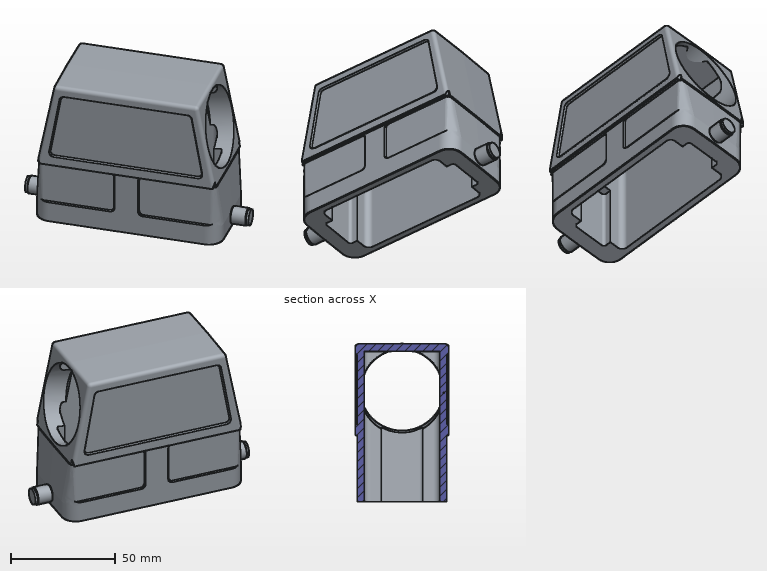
import cadquery as cq
import math

pin_span = 111.7
height = 76.0
hood_width = 45.0
draft_angle = 0.5

base_length = 93.4
base_width = 43.0
skirt_height = 9.0
skirt_radius = 7.5
waist_top_length = 89.4
waist_top_radius = 3.8
rim_chamfer = 0.3

hood_bottom = 31.7
hood_bottom_length = 89.6
hood_top_length = 72.2
hood_radius = 1.9
hood_rim_chamfer = 0.5
corner_relief_x = 43.2
corner_relief_y = 20.3
corner_relief_run = 1.0
corner_relief_rise = 3.8

waist_panel_depth = 0.6
waist_panel_wall_angle = 45.0
hood_panel_depth = 0.9
hood_panel_wall_angle = 35.0
panel_corner_radius = 2.5
panel_end_radius = 2.0
hood_panel_bottom = 36.8
hood_panel_top = 71.0
hood_panel_bottom_length = 77.6
hood_panel_top_length = 65.6
waist_panel_bottom = 10.6
waist_panel_inner_x = 5.8

pin_diameter = 8.8
pin_core_diameter = 8.0
pin_height = 6.0
sleeve_length = 8.0
pin_chamfer = (pin_diameter - pin_core_diameter) / 2

cavity_length = 69.0
cavity_width = 36.0
cavity_top = 72.0
cavity_radius = 3.0
end_slot_length = 77.6
end_slot_width = 19.8
end_slot_radius = 1.5
end_slot_top = 36.0

entry_diameter = 40.0
entry_depth = 12.0
end_slope = math.degrees(math.atan2((hood_bottom_length - hood_top_length) / 2, height - hood_bottom))

overlap = 1.0


def rounded_block(length, width, radius, bottom, top):
    block = cq.Workplane("XY").workplane(offset=bottom).rect(length, width).extrude(top - bottom)
    return block.edges("|Z").fillet(radius)


def base_outline(length, radius, height_above):
    """Rounded rectangle whose ends are slightly crowned by the mould draft."""
    side_y = base_width / 2
    tip_x = length / 2
    corner_x = tip_x - side_y * math.tan(math.radians(draft_angle))
    points = [
        (corner_x, -side_y),
        (tip_x, 0),
        (corner_x, side_y),
        (-corner_x, side_y),
        (-tip_x, 0),
        (-corner_x, -side_y),
    ]
    outline = cq.Sketch().polygon(points + points[:1])
    outline = outline.vertices("<Y or >Y").fillet(radius)
    return outline.moved(cq.Location(cq.Vector(0, 0, height_above)))


def trapezoid(bottom_length, top_length, bottom, top):
    return [
        (-bottom_length / 2, bottom),
        (bottom_length / 2, bottom),
        (top_length / 2, top),
        (-top_length / 2, top),
    ]


def make_base():
    skirt = cq.Workplane("XY").placeSketch(base_outline(base_length, skirt_radius, 0)).extrude(skirt_height)
    skirt = skirt.faces("<Z").edges().chamfer(rim_chamfer)
    lower = base_outline(base_length, skirt_radius, skirt_height)
    upper = base_outline(waist_top_length, waist_top_radius, hood_bottom)
    waist = cq.Workplane("XY").placeSketch(lower, upper).loft(ruled=True)
    return skirt.union(waist)


def corner_relief():
    """Wedge that trims a lower hood corner back to the rounded waist corner."""
    outline = [
        (corner_relief_x, hood_bottom),
        (corner_relief_x + corner_relief_run, hood_bottom + corner_relief_rise),
        (base_length / 2, hood_bottom + corner_relief_rise),
        (base_length / 2, hood_bottom),
    ]
    wedge = cq.Workplane("XZ", origin=(0, -corner_relief_y, 0))
    return wedge.polyline(outline).close().extrude(hood_width / 2 - corner_relief_y + overlap)


def make_hood():
    """Two mirrored halves drafted away from the parting plane, with rounded outer edges."""
    slope = math.tan(math.radians(end_slope))
    low_length = hood_bottom_length + 2 * overlap * slope
    outline = trapezoid(low_length, hood_top_length, hood_bottom - overlap, height)
    half = cq.Workplane("XZ").polyline(outline).close().extrude(hood_width / 2, taper=draft_angle)
    margin = 2 * height
    rounded_zone = cq.selectors.BoxSelector((-margin, -margin, hood_bottom), (margin, -overlap, margin))
    half = half.edges(rounded_zone).fillet(hood_radius)
    trim = cq.Workplane("XY").box(
        2 * hood_bottom_length, 2 * hood_width, hood_bottom, centered=(True, True, False)
    )
    half = half.cut(trim)
    half = half.faces("<Z").edges("not >Y").chamfer(hood_rim_chamfer)
    relief = corner_relief()
    half = half.cut(relief).cut(relief.mirror("YZ"))
    return half.union(half.mirror("XZ"))


def panel_cutter(outline, face_y, depth, wall_angle):
    """Shallow pocket with sloping walls, cut inward from the face at y = -face_y."""
    profile = cq.Sketch().polygon(outline + outline[:1]).vertices().fillet(panel_corner_radius)
    face = cq.Workplane("XZ", origin=(0, -face_y, 0))
    return face.placeSketch(profile).extrude(-depth, taper=wall_angle)


def floor_end_edges():
    """Selects the four edges where a waist panel floor runs out into a rounded corner."""
    corner_x = waist_top_length / 2 - waist_top_radius / 2
    middle_z = (waist_panel_bottom + hood_bottom) / 2
    floor_y = base_width / 2 - waist_panel_depth
    size = cq.Vector(overlap, overlap / 10, overlap)
    zones = []
    for x in (-corner_x, corner_x):
        for y in (-floor_y, floor_y):
            centre = cq.Vector(x, y, middle_z)
            zones.append(cq.selectors.BoxSelector((centre - size).toTuple(), (centre + size).toTuple()))
    return zones[0] + zones[1] + zones[2] + zones[3]


def join_with_panels(base, hood):
    hood_panel = panel_cutter(
        trapezoid(hood_panel_bottom_length, hood_panel_top_length, hood_panel_bottom, hood_panel_top),
        hood_width / 2,
        hood_panel_depth,
        hood_panel_wall_angle,
    )
    outer_x = base_length / 2 + 2 * overlap
    upper_z = hood_bottom + waist_panel_depth
    waist_panel = panel_cutter(
        [
            (waist_panel_inner_x, waist_panel_bottom),
            (outer_x, waist_panel_bottom),
            (outer_x, upper_z),
            (waist_panel_inner_x, upper_z),
        ],
        base_width / 2,
        waist_panel_depth,
        waist_panel_wall_angle,
    )
    for mirror_far in (False, True):
        for mirror_left in (False, True):
            cutter = waist_panel.mirror("YZ") if mirror_left else waist_panel
            base = base.cut(cutter.mirror("XZ") if mirror_far else cutter)
    base = base.edges(floor_end_edges()).fillet(panel_end_radius)
    hood = hood.cut(hood_panel).cut(hood_panel.mirror("XZ"))
    return base.union(hood)


def make_pin(side):
    """Stepped pin: a core with a chamfered, thicker sleeve."""
    base_end = base_length / 2
    core = cq.Workplane("YZ", origin=(base_end - overlap, 0, pin_height))
    core = core.circle(pin_core_diameter / 2).extrude(pin_span / 2 - base_end + overlap)
    sleeve = cq.Workplane("YZ", origin=(base_end, 0, pin_height))
    sleeve = sleeve.circle(pin_diameter / 2).extrude(sleeve_length)
    pin = core.union(sleeve.edges().chamfer(pin_chamfer))
    return pin if side > 0 else pin.mirror("YZ")


def make_cavity():
    main = rounded_block(cavity_length, cavity_width, cavity_radius, -overlap, cavity_top)
    slot = rounded_block(end_slot_length, end_slot_width, end_slot_radius, -overlap, end_slot_top)
    return main.union(slot)


def make_cable_entry():
    """Round hole square to the sloping +X end, centred on that face."""
    centre_x = (hood_bottom_length + hood_top_length) / 4
    centre_z = (hood_bottom + height) / 2
    outward = cq.Vector(math.cos(math.radians(end_slope)), 0, math.sin(math.radians(end_slope)))
    centre = cq.Vector(centre_x, 0, centre_z)
    start = centre - outward * entry_depth
    solid = cq.Solid.makeCylinder(entry_diameter / 2, entry_depth + 2 * overlap, start, outward)
    return cq.Workplane(solid)


base = make_base()
hood = make_hood()
result = join_with_panels(base, hood)
for side in (-1, 1):
    result = result.union(make_pin(side))
result = result.cut(make_cavity()).cut(make_cable_entry())